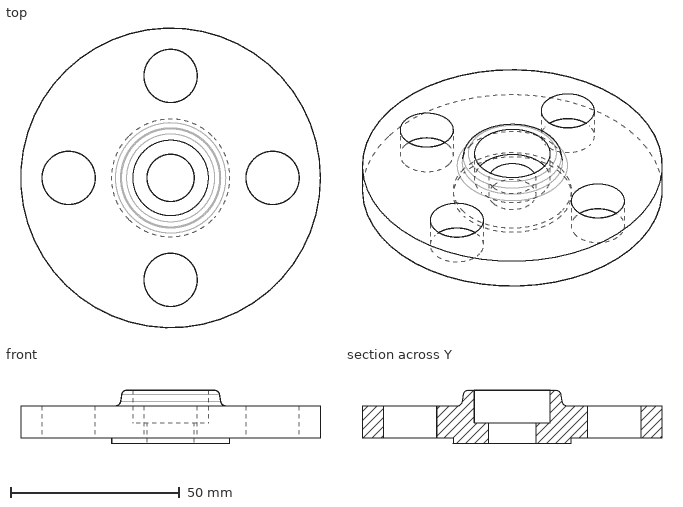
import cadquery as cq
import math

flange_diameter = 88.9
flange_thickness = 9.6

face_diameter = 35.0
face_height = 1.6

hub_base_diameter = 30.1
hub_height = 4.6
hub_taper_angle = 9.0
hub_fillet = 1.5

socket_diameter = 22.4
socket_depth = 9.7
bore_diameter = 13.95

bolt_hole_count = 4
bolt_circle_diameter = 60.4
bolt_hole_diameter = 15.7

disc_bottom = face_height
disc_top = disc_bottom + flange_thickness
hub_top = disc_top + hub_height
socket_floor = hub_top - socket_depth


def cylinder(diameter, bottom, top):
    """Upright cylinder on the main axis between two levels."""
    return cq.Workplane("XY").workplane(offset=bottom).circle(diameter / 2).extrude(top - bottom)


def disc_with_hub():
    """Disc and tapered hub revolved in one piece, with the hub rounded at its foot and rim."""
    flange_radius = flange_diameter / 2
    hub_base_radius = hub_base_diameter / 2
    hub_top_radius = hub_base_radius - hub_height * math.tan(math.radians(hub_taper_angle))
    body = (
        cq.Workplane("XZ")
        .moveTo(0, disc_bottom)
        .lineTo(flange_radius, disc_bottom)
        .lineTo(flange_radius, disc_top)
        .lineTo(hub_base_radius, disc_top)
        .lineTo(hub_top_radius, hub_top)
        .lineTo(0, hub_top)
        .close()
        .revolve(360, (0, 0), (0, 1))
    )
    hub_foot = cq.selectors.RadiusNthSelector(1)
    hub_rim = cq.selectors.RadiusNthSelector(0)
    return body.edges("%CIRCLE").edges(hub_foot + hub_rim).fillet(hub_fillet)


def bolt_holes():
    """Cutters for the bolt holes, evenly spaced from the +X axis."""
    return (
        cq.Workplane("XY")
        .workplane(offset=disc_bottom)
        .polarArray(bolt_circle_diameter / 2, 0, 360, bolt_hole_count)
        .circle(bolt_hole_diameter / 2)
        .extrude(flange_thickness)
    )


result = (
    disc_with_hub()
    .union(cylinder(face_diameter, 0, disc_bottom))
    .cut(cylinder(bore_diameter, 0, hub_top))
    .cut(cylinder(socket_diameter, socket_floor, hub_top))
    .cut(bolt_holes())
)